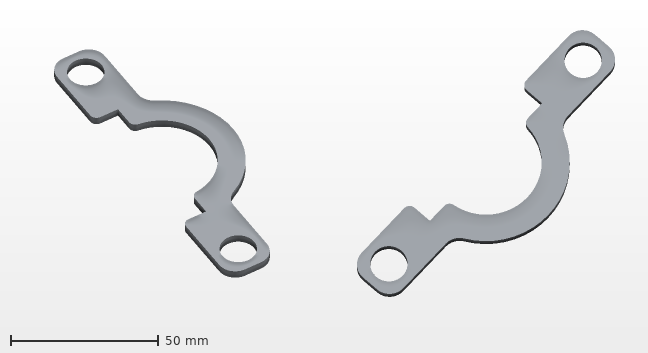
import cadquery as cq

length = 117.5
thickness = 3.0
outer_radius = 28.4
band_width = 9.5
hole_spacing = 98.4
hole_diameter = 12.7
lug_corner_radius = 6.3
neck_radius = 6.3
small_radius = 2.5

half_length = length / 2
inner_radius = outer_radius - band_width
lug_inner_x = outer_radius
lug_length = half_length - lug_inner_x
lug_center_x = (half_length + lug_inner_x) / 2


def half_ring():
    """Upper half of the arch, ending on the X axis."""
    ring = cq.Workplane("XY").circle(outer_radius).circle(inner_radius).extrude(thickness)
    upper_half = (
        cq.Workplane("XY")
        .rect(2 * outer_radius, outer_radius)
        .extrude(thickness)
        .translate((0, outer_radius / 2, 0))
    )
    return ring.intersect(upper_half)


def lug(side):
    """Rectangular end lug on the given side (-1 or 1)."""
    return (
        cq.Workplane("XY")
        .center(side * lug_center_x, 0)
        .rect(lug_length, 2 * band_width)
        .extrude(thickness)
    )


def bridge(side):
    """Fills the gap between the arch end and the lug, above the X axis."""
    inner_x = (inner_radius + outer_radius) / 2
    return (
        cq.Workplane("XY")
        .center(side * (inner_x + lug_inner_x) / 2, band_width / 2)
        .rect(lug_inner_x - inner_x, band_width)
        .extrude(thickness)
    )


def round_corners(body, x, y, radius):
    """Fillets the pair of vertical edges at (-x, y) and (x, y)."""
    for side in (-1, 1):
        point = (side * x, y, thickness / 2)
        body = body.edges(cq.selectors.NearestToPointSelector(point)).fillet(radius)
    return body


body = half_ring()
for side in (-1, 1):
    body = body.union(lug(side)).union(bridge(side))
body = body.clean()

neck_x = (outer_radius**2 - band_width**2) ** 0.5
body = round_corners(body, neck_x, band_width, neck_radius)
body = round_corners(body, half_length, band_width, lug_corner_radius)
body = round_corners(body, half_length, -band_width, lug_corner_radius)
body = round_corners(body, lug_inner_x, -band_width, small_radius)
body = round_corners(body, inner_radius, 0, small_radius)

holes = (
    cq.Workplane("XY")
    .pushPoints([(-hole_spacing / 2, 0), (hole_spacing / 2, 0)])
    .circle(hole_diameter / 2)
    .extrude(thickness)
)
result = body.cut(holes)